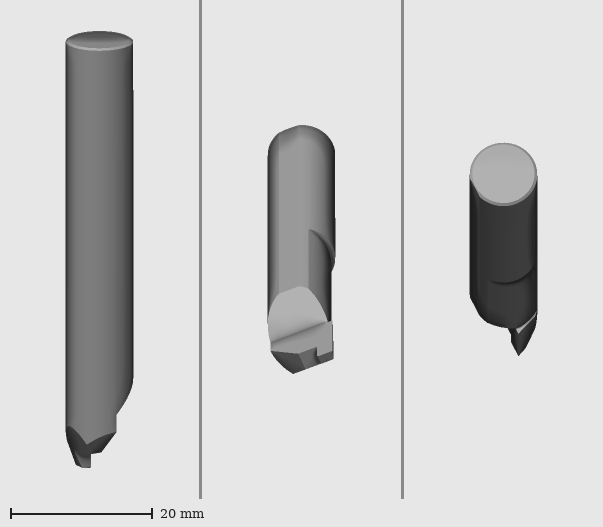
import cadquery as cq

length = 63.5
radius = 4.75
back_flat_y = 4.5
chamfer_width = 0.4
chamfer_height = 0.25

recess_bottom = 9.35
recess_top = 31.75
recess_x = -4.0
recess_radius = 6.65

rake_start = 9.65

side_relief_x = -3.5
side_relief_y = -3.25

front_relief_top = 7.4
tip_thickness = 1.4
tip_relief_rise = 0.25

tip_x = -2.35
tip_relief_x = -2.6
tip_relief_depth = 2.5
tip_corner = 0.25
step_height = 3.05
step_end_x = 0.5
bevel_top = 7.1

margin = 3.2
outside = radius + margin


def prism_along_x(points):
    """Solid with a (Y, Z) outline, crossing the whole shank along X."""
    return cq.Workplane("YZ").polyline(points).close().extrude(outside, both=True)


def prism_along_y(points):
    """Solid with an (X, Z) outline, crossing the whole shank along Y."""
    return cq.Workplane("XZ").polyline(points).close().extrude(outside, both=True)


def prism_along_z(points, height):
    """Solid with an (X, Y) outline, rising from below the tip to the given height."""
    base = cq.Workplane("XY").workplane(offset=-margin)
    return base.polyline(points).close().extrude(height + margin)


def shank():
    """Round bar with a chamfered top and a narrow flat on its back."""
    profile = [
        (0, 0),
        (radius, 0),
        (radius, length - chamfer_height),
        (radius - chamfer_width, length),
        (0, length),
    ]
    bar = cq.Workplane("XZ").polyline(profile).close().revolve(360, (0, 0), (0, 1))
    flat = prism_along_x([
        (back_flat_y, -margin),
        (outside, -margin),
        (outside, length + margin),
        (back_flat_y, length + margin),
    ])
    return bar.cut(flat)


def recess():
    """Material outside a larger, offset cylinder on the -X side."""
    height = recess_top - recess_bottom
    base = cq.Workplane("XY").workplane(offset=recess_bottom)
    block = base.center(-outside / 2, 0).rect(outside, 2 * outside).extrude(height)
    core = base.center(recess_x + recess_radius, 0).circle(recess_radius).extrude(height)
    return block.cut(core)


def rake():
    """Half of the bar removed down to the rake face, with a 45 degree run-out."""
    return prism_along_x([
        (0, -margin),
        (0, rake_start),
        (outside, rake_start + outside),
        (outside, -margin),
    ])


def side_relief():
    """Flank falling away from the cutting edge on the -X side."""
    return prism_along_z([
        (-radius, 0),
        (side_relief_x, side_relief_y),
        (-outside, side_relief_y),
        (-outside, 0),
    ], recess_bottom)


def front_relief():
    """Steep bevel on the -Y side together with the relieved end face."""
    return prism_along_x([
        (0, 0),
        (-tip_thickness, tip_relief_rise),
        (-radius, front_relief_top),
        (-outside, front_relief_top),
        (-outside, -margin),
        (0, -margin),
    ])


def step_and_bevel():
    """Clearance beside the tip, continuing as a bevel up the +X side."""
    return prism_along_y([
        (tip_x, -margin),
        (tip_x, step_height),
        (step_end_x, step_height),
        (radius, bevel_top),
        (outside, bevel_top),
        (outside, -margin),
    ])


def tip_side_relief():
    """Slight taper of the tip on its +X side."""
    return prism_along_z([
        (tip_x, 0),
        (tip_relief_x, -tip_relief_depth),
        (tip_x, -tip_relief_depth),
    ], step_height)


def tip_corner_bevel():
    """Small bevel on the lower +X corner of the tip."""
    return prism_along_y([
        (tip_x - tip_corner, 0),
        (tip_x, tip_corner),
        (tip_x, -margin),
        (tip_x - tip_corner, -margin),
    ])


result = shank()
for cutter in (
    recess(),
    rake(),
    side_relief(),
    front_relief(),
    step_and_bevel(),
    tip_side_relief(),
    tip_corner_bevel(),
):
    result = result.cut(cutter)